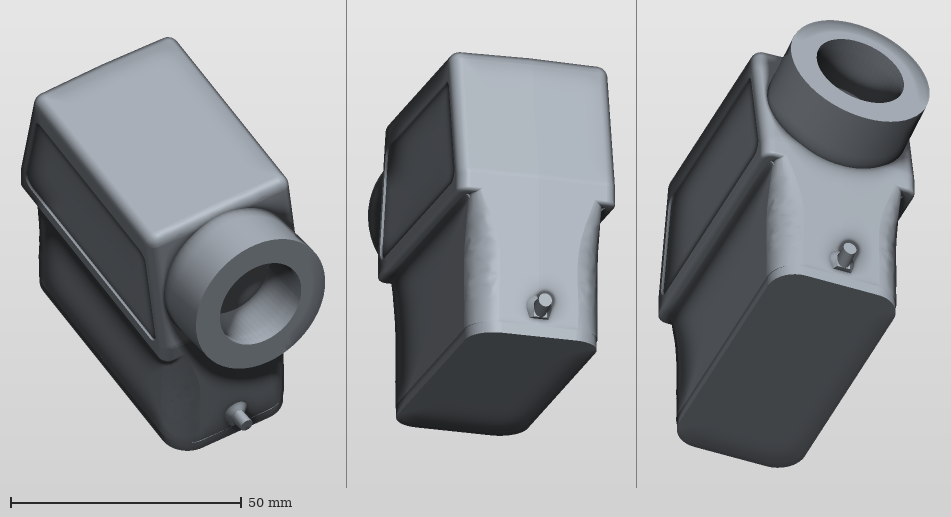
import cadquery as cq
import math

length = 62.65
depth = 36.0
height = 67.2
bend_height = 37.1
end_tilt = 11.5
bend_radius = 5.7
top_radius = 2.9
edge_radius = 2.5
draft = 1.0

stem_depth = 30.0
foot_depth = 29.55
foot_height = 2.5
step_height = 32.2
lip_radius = 0.9
cove_radius = 1.0
corner_radius = 6.3
corner_radius_top = 2.7
corner_change_height = 19.4
corner_exponent = 1.4
low_steps = 2
high_steps = 4
cut_margin = 0.8

label_bottom = 35.7
label_top = 60.55
label_margin = 3.6
label_radius = 2.5
label_recess = 0.5
label_wall_taper = 27.0

boss_diameter = 32.5
boss_end_x = 41.8
boss_end_z = 52.7
sleeve_outer_diameter = 23.0
sleeve_inner_diameter = 20.5

peg_diameter = 3.0
peg_tip_x = 35.9
peg_height = 6.9
peg_root_x = 32.45
peg_drop = 2.75
root_radius = 2.9
root_bottom_width = 4.4
root_embed = 0.1
root_arc_dip = math.radians(16)

half_length = length / 2
half_depth = depth / 2
tilt = math.radians(end_tilt)
tilt_slope = math.tan(tilt)
draft_slope = math.tan(math.radians(draft))
peg_radius = peg_diameter / 2


def end_x(z):
    """Half length of the hood at a height on the sloped ends."""
    return half_length - (z - bend_height) * tilt_slope


def make_block():
    """Block with sloped ends, drafted both ways from the middle plane, with rounded outlines."""
    bends = cq.selectors.BoxSelector(
        (-length, bend_height - cut_margin, -cut_margin),
        (length, bend_height + cut_margin, cut_margin),
    )
    outline = (
        cq.Sketch()
        .polygon([
            (-half_length, 0),
            (half_length, 0),
            (half_length, bend_height),
            (end_x(height), height),
            (-end_x(height), height),
            (-half_length, bend_height),
            (-half_length, 0),
        ])
        .vertices(">Y")
        .fillet(top_radius)
        .reset()
        .vertices(bends)
        .fillet(bend_radius)
    )
    half = cq.Workplane("XZ").placeSketch(outline).extrude(half_depth, taper=draft)
    half = half.faces("<Y").edges("not <Z").fillet(edge_radius)
    return half.union(half.mirror("XZ"))


def slab(bottom, top, width):
    """Bar along X, wider than the hood is long, between two heights."""
    return cq.Workplane("XY", origin=(0, 0, bottom)).box(
        2 * length, width, top - bottom, centered=(True, True, False)
    )


def make_overhang(block):
    """Upper part of the block, with its lower rim rounded."""
    upper = block.intersect(slab(step_height, height, depth))
    return upper.faces("<Z").edges().fillet(lip_radius)


def stem_corner_radius(z):
    """Radius of the stem corners, constant low down and shrinking toward the overhang."""
    rise = max(0, z - corner_change_height) / (step_height - corner_change_height)
    return corner_radius - (corner_radius - corner_radius_top) * rise**corner_exponent


def corner_outline(z):
    """Closed outline of the material outside one rounded stem corner at a height."""
    radius = stem_corner_radius(z)
    stem_y = stem_depth / 2
    y_start = stem_y - radius
    x_corner = half_length - y_start * draft_slope
    x_start = x_corner - radius
    bulge = radius * math.sqrt(0.5)
    return (
        cq.Workplane("XY", origin=(0, 0, z))
        .moveTo(x_start, stem_y)
        .threePointArc((x_start + bulge, y_start + bulge), (x_corner, y_start))
        .lineTo(half_length + cut_margin, y_start)
        .lineTo(half_length + cut_margin, half_depth)
        .lineTo(x_start, half_depth)
        .close()
        .val()
    )


def make_corner_cutter():
    """Tool that rounds one stem corner."""
    top = step_height + lip_radius
    low_step = (corner_change_height - foot_height) / low_steps
    high_step = (top - corner_change_height) / high_steps
    heights = [foot_height + low_step * i for i in range(low_steps)]
    heights += [corner_change_height + high_step * i for i in range(high_steps + 1)]
    return cq.Workplane(cq.Solid.makeLoft([corner_outline(z) for z in heights]))


def make_coves():
    """Concave fillets between the flat stem sides and the overhang."""
    stem_y = stem_depth / 2
    cove_length = length - 2 * corner_radius_top
    cove = (
        cq.Workplane("YZ", origin=(-cove_length / 2, 0, 0))
        .moveTo(stem_y, step_height - cove_radius)
        .radiusArc((stem_y + cove_radius, step_height), cove_radius)
        .lineTo(stem_y, step_height)
        .close()
        .extrude(cove_length)
    )
    return cove.union(cove.mirror("XZ"))


def make_stem(block):
    stem = block.intersect(slab(foot_height, step_height + lip_radius, stem_depth))
    cutter = make_corner_cutter()
    for tool in (cutter, cutter.mirror("YZ")):
        stem = stem.cut(tool).cut(tool.mirror("XZ"))
    return stem


def make_foot():
    foot = cq.Workplane("XY").box(length, foot_depth, foot_height, centered=(True, True, False))
    return foot.edges("|Z").fillet(corner_radius)


def make_label_recess():
    """Shallow recess with tapered walls for the -Y side face."""
    margin = label_margin / math.cos(tilt)
    bottom_x = end_x(label_bottom) - margin
    top_x = end_x(label_top) - margin
    outline = (
        cq.Sketch()
        .polygon([
            (-bottom_x, label_bottom),
            (bottom_x, label_bottom),
            (top_x, label_top),
            (-top_x, label_top),
            (-bottom_x, label_bottom),
        ])
        .vertices()
        .fillet(label_radius)
    )
    plane = cq.Workplane("XZ", origin=(0, -half_depth, 0))
    return plane.placeSketch(outline).extrude(-label_recess, taper=label_wall_taper)


boss_axis = cq.Vector(math.cos(tilt), 0, math.sin(tilt))
boss_end = cq.Vector(boss_end_x, 0, boss_end_z)
boss_length = (boss_end - cq.Vector(half_length, 0, bend_height)).dot(boss_axis)


def entry_cylinder(diameter, extra=0.0):
    """Cylinder on the cable entry axis, from the boss end back to the sloped end, or further by extra."""
    return cq.Workplane(
        cq.Solid.makeCylinder(diameter / 2, boss_length + extra, boss_end, boss_axis * -1)
    )


def peg_outline(x, drop):
    """Upright oval around the peg axis, reaching below it by the given drop."""
    half_height = (peg_radius + drop) / 2
    plane = cq.Workplane("YZ", origin=(x, 0, peg_height + peg_radius - half_height))
    return plane.ellipse(peg_radius, half_height).val()


def root_outline(x, radius, bottom_width):
    """Arch around the peg axis with a flat bottom."""
    side = radius * math.cos(root_arc_dip)
    dip = radius * math.sin(root_arc_dip)
    return (
        cq.Workplane("YZ", origin=(x, 0, peg_height))
        .moveTo(side, -dip)
        .threePointArc((0, radius), (-side, -dip))
        .lineTo(-bottom_width / 2, -peg_drop)
        .lineTo(bottom_width / 2, -peg_drop)
        .close()
        .val()
    )


def make_peg():
    """Locking peg with its flared root, for the +X end."""
    slender = cq.Solid.makeLoft(
        [peg_outline(peg_root_x, peg_drop), peg_outline(peg_tip_x, peg_radius)], True
    )
    root = cq.Solid.makeLoft(
        [
            root_outline(half_length - root_embed, root_radius, root_bottom_width),
            root_outline(peg_root_x, peg_radius, peg_diameter),
        ],
        True,
    )
    return cq.Workplane(slender).union(cq.Workplane(root))


def make_hood():
    block = make_block()
    hood = make_overhang(block).union(make_stem(block)).union(make_foot()).union(make_coves())
    recess = make_label_recess()
    hood = hood.cut(recess).cut(recess.mirror("XZ"))
    hood = hood.union(entry_cylinder(boss_diameter, boss_length))
    hood = hood.cut(entry_cylinder(sleeve_outer_diameter))
    peg = make_peg()
    return hood.union(peg).union(peg.mirror("YZ"))


def make_sleeve():
    return entry_cylinder(sleeve_outer_diameter).cut(entry_cylinder(sleeve_inner_diameter))


hood = make_hood()
sleeve = make_sleeve()
result = cq.Compound.makeCompound([hood.val(), sleeve.val()])